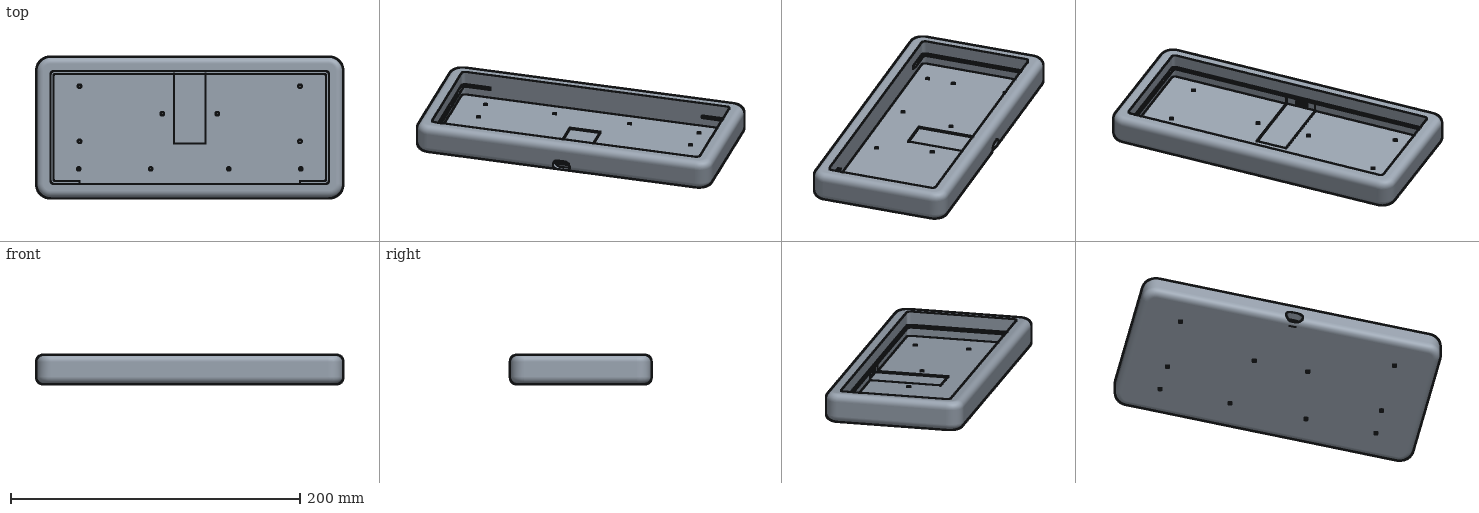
import cadquery as cq
import math

KEY_PITCH = 19.05
KEY_COLUMNS = 10
KEY_ROWS = 4
OPENING_CLEARANCE = 2.0

RIM_WIDTH = 10.0
CASE_HEIGHT = 20.6
CORNER_RADIUS = 10.0
EDGE_RADIUS = 5.0

OPENING_LENGTH = KEY_COLUMNS * KEY_PITCH + OPENING_CLEARANCE
OPENING_WIDTH = KEY_ROWS * KEY_PITCH + OPENING_CLEARANCE
OPENING_RADIUS = 2.5
FLOOR_Z = 3.0
LEDGE_Z = 11.0
LEDGE_WIDTH = 2.0
LEDGE_RADIUS = 1.5
LEDGE_UNDERSIDE_ANGLE = 45.0
LEDGE_HEIGHT = LEDGE_WIDTH / math.tan(math.radians(LEDGE_UNDERSIDE_ANGLE))

CASE_LENGTH = OPENING_LENGTH + 2 * RIM_WIDTH
CASE_WIDTH = OPENING_WIDTH + 2 * RIM_WIDTH

LEDGE_GAP_LENGTH = 8 * KEY_PITCH

POCKET_WIDTH = 22.0
POCKET_FRONT_Y = -11.2
POCKET_UNDERCUT = 1.8
POCKET_REAR_Y = OPENING_WIDTH / 2 + POCKET_UNDERCUT
POCKET_Z = 2.0
POCKET_TOP_Z = LEDGE_Z - LEDGE_HEIGHT

SLOT_LENGTH = 8.6
SLOT_HEIGHT = 3.6
SLOT_Z = 4.8
SLOT_WALL = 2.0
RECESS_LENGTH = 12.0
RECESS_HEIGHT = 8.0

SCREW_DIAMETER = 2.2
SCREW_OUTER_X = 4 * KEY_PITCH
SCREW_INNER_X = KEY_PITCH
SCREW_REAR_Y = 1.5 * KEY_PITCH
SCREW_MIDDLE_Y = 0.5 * KEY_PITCH
FRONT_SCREW_DIAMETER = 2.0
FRONT_SCREW_OUTER_X = 76.8
FRONT_SCREW_INNER_X = 27.0
FRONT_SCREW_Y = -SCREW_REAR_Y


def rounded_block(length, width, corner_radius, bottom_z, top_z):
    """Block centred on the Z axis with rounded vertical edges."""
    block = cq.Workplane("XY").workplane(offset=bottom_z).rect(length, width).extrude(top_z - bottom_z)
    return block.edges("|Z").fillet(corner_radius)


def box_between(length, front_y, rear_y, bottom_z, top_z):
    """Box centred on X = 0 that spans the given Y and Z ranges."""
    box = cq.Workplane("XY").box(length, rear_y - front_y, top_z - bottom_z, centered=(True, False, False))
    return box.translate((0, front_y, bottom_z))


def case_body():
    body = rounded_block(CASE_LENGTH, CASE_WIDTH, CORNER_RADIUS, 0, CASE_HEIGHT)
    return body.faces("<Z or >Z").edges().fillet(EDGE_RADIUS)


def tray_opening():
    return rounded_block(OPENING_LENGTH, OPENING_WIDTH, OPENING_RADIUS, FLOOR_Z, CASE_HEIGHT)


def plate_ledge():
    """Ring around the opening wall, flat on top and sloping back to the wall below."""
    ring = rounded_block(OPENING_LENGTH, OPENING_WIDTH, OPENING_RADIUS, LEDGE_Z - LEDGE_HEIGHT, LEDGE_Z)
    inner_length = OPENING_LENGTH - 2 * LEDGE_WIDTH
    inner_width = OPENING_WIDTH - 2 * LEDGE_WIDTH
    inner_outline = cq.Sketch().rect(inner_length, inner_width).vertices().fillet(LEDGE_RADIUS)
    flared_bore = (
        cq.Workplane("XY", origin=(0, 0, LEDGE_Z))
        .placeSketch(inner_outline)
        .extrude(-LEDGE_HEIGHT, taper=-LEDGE_UNDERSIDE_ANGLE)
    )
    front_gap = box_between(LEDGE_GAP_LENGTH, -OPENING_WIDTH / 2, 0, LEDGE_Z - LEDGE_HEIGHT, LEDGE_Z)
    return ring.cut(flared_bore).cut(front_gap)


def controller_pocket():
    return box_between(POCKET_WIDTH, POCKET_FRONT_Y, POCKET_REAR_Y, POCKET_Z, POCKET_TOP_Z)


def connector_port():
    recess_front_y = POCKET_REAR_Y + SLOT_WALL
    slot = (
        cq.Workplane("XZ", origin=(0, recess_front_y, SLOT_Z))
        .slot2D(SLOT_LENGTH, SLOT_HEIGHT)
        .extrude(SLOT_WALL)
    )
    recess = (
        cq.Workplane("XZ", origin=(0, CASE_WIDTH / 2, SLOT_Z))
        .slot2D(RECESS_LENGTH, RECESS_HEIGHT)
        .extrude(CASE_WIDTH / 2 - recess_front_y)
    )
    return slot.union(recess)


def floor_holes(diameter, centres):
    return cq.Workplane("XY").pushPoints(centres).circle(diameter / 2).extrude(FLOOR_Z)


def mirrored_in_x(points):
    return [(side * x, y) for x, y in points for side in (-1, 1)]


screw_centres = mirrored_in_x(
    [
        (SCREW_OUTER_X, SCREW_REAR_Y),
        (SCREW_OUTER_X, -SCREW_MIDDLE_Y),
        (SCREW_INNER_X, SCREW_MIDDLE_Y),
    ]
)
front_screw_centres = mirrored_in_x(
    [
        (FRONT_SCREW_OUTER_X, FRONT_SCREW_Y),
        (FRONT_SCREW_INNER_X, FRONT_SCREW_Y),
    ]
)

result = (
    case_body()
    .cut(tray_opening())
    .union(plate_ledge())
    .cut(controller_pocket())
    .cut(connector_port())
    .cut(floor_holes(SCREW_DIAMETER, screw_centres))
    .cut(floor_holes(FRONT_SCREW_DIAMETER, front_screw_centres))
)